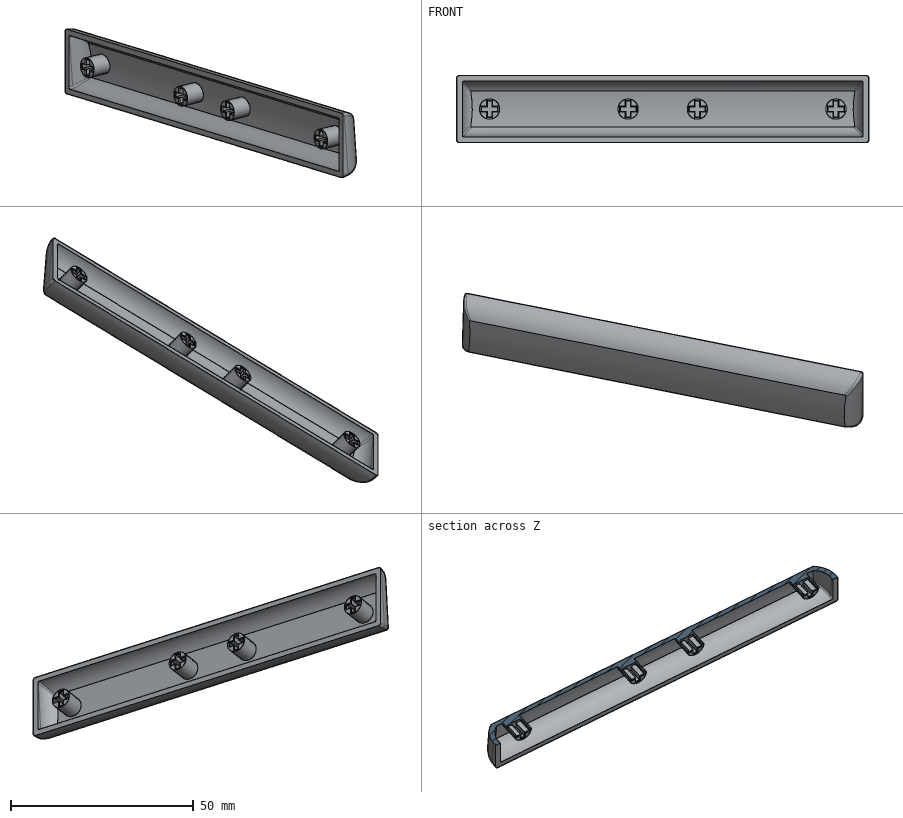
import cadquery as cq
import math


length = 113.2
height = 18.5
depth = 7.7
back_half_height = 5.9
back_drop = 1.0
crown_bulge = 0.2
end_radius = 7.5
end_straight = 1.1
corner_radius = 0.8

wall = 1.6
cavity_depth = 6.0
floor_half_height = 5.0
floor_bulge = 0.3
cavity_end_radius = 6.1
cavity_end_straight = 0.8
cavity_corner_radius = 0.5

key_pitch = 19.0
stem_positions = [steps * key_pitch for steps in (-2.5, -0.5, 0.5, 2.5)]
stem_diameter = 5.5
cross_span = 4.3
cross_slot = 1.2
cross_depth = 4.5
cross_chamfer = 0.2
stem_embed = 0.3

tilt = math.atan2(back_drop, 2 * back_half_height)


def tangent_arc_mid(start, end):
    """Middle point of an arc that leaves start along its second coordinate and passes through end."""
    across = end[0] - start[0]
    along = end[1] - start[1]
    radius = (across**2 + along**2) / (2 * abs(across))
    half_sweep = math.atan2(abs(across), along)
    shift = math.copysign(radius * (1 - math.cos(half_sweep)), across)
    return (start[0] + shift, start[1] + radius * math.sin(half_sweep))


def crowned_block(size_x, size_z, back_depth, half_back, bulge, radius, straight, corner):
    """Block with a flat face on y = 0, a tilted crowned back and four sides that curve in towards it."""
    drop = 2 * half_back * math.tan(tilt)

    low_rim = (-size_z / 2, 0)
    low_back = (-half_back, back_depth)
    crown = (0, back_depth - drop / 2 + bulge)
    high_back = (half_back, back_depth - drop)
    high_rim = (size_z / 2, 0)
    section = (
        cq.Workplane("ZY", origin=(size_x / 2, 0, 0))
        .moveTo(*low_rim)
        .threePointArc(tangent_arc_mid(low_rim, low_back), low_back)
        .threePointArc(crown, high_back)
        .threePointArc(tangent_arc_mid(high_rim, high_back), high_rim)
        .close()
        .extrude(size_x)
    )

    reach = straight + radius
    outline = (
        cq.Workplane("XY")
        .center(0, reach - size_z)
        .rect(size_x, 2 * size_z)
        .extrude(size_z, both=True)
        .edges("|Z and >Y")
        .fillet(radius)
        .rotate((0, 0, 0), (1, 0, 0), math.degrees(tilt))
    )
    block = section.intersect(outline)

    corner_edges = block.edges().filter(
        lambda edge: edge.geomType() != "LINE" and abs(edge.Center().z) > half_back
    )
    return block.newObject(corner_edges.vals()).fillet(corner)


def stem(x):
    """Round post from the rim plane into the back, with a chamfered cross socket in its tip."""
    tip = cq.Workplane("XZ", origin=(x, 0, 0))
    post = tip.circle(stem_diameter / 2).extrude(-(cavity_depth + stem_embed))
    mouth_span = cross_span + 2 * cross_chamfer
    mouth_slot = cross_slot + 2 * cross_chamfer
    for turn in (0, 90):
        arm = tip.transformed(rotate=(0, 0, turn))
        slot = arm.rect(cross_span, cross_slot).extrude(-cross_depth)
        lead_in = (
            arm.rect(mouth_span, mouth_slot)
            .workplane(offset=-cross_chamfer)
            .rect(cross_span, cross_slot)
            .loft(ruled=True)
        )
        post = post.cut(slot).cut(lead_in)
    return post


outer = crowned_block(
    length, height, depth, back_half_height, crown_bulge, end_radius, end_straight, corner_radius
)
cavity = crowned_block(
    length - 2 * wall, height - 2 * wall, cavity_depth, floor_half_height, floor_bulge,
    cavity_end_radius, cavity_end_straight, cavity_corner_radius,
)
cap = outer.cut(cavity)
for x in stem_positions:
    cap = cap.union(stem(x))

result = cap.solids()